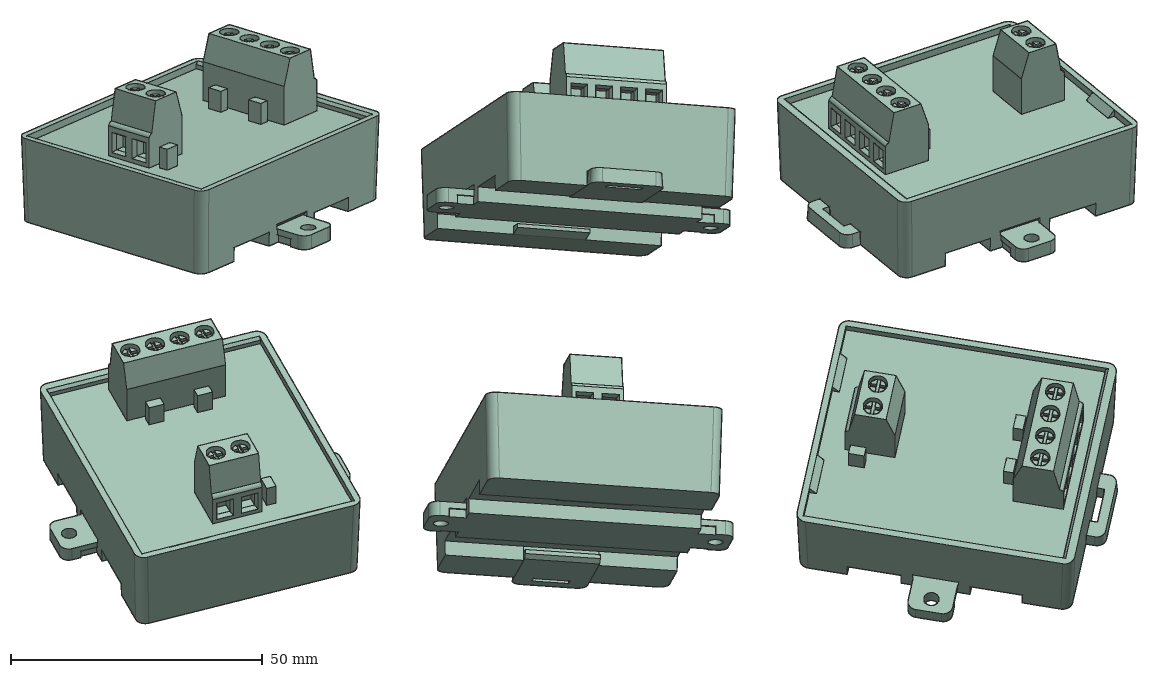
import cadquery as cq
import math

HOUSING_LENGTH_X = 47.9
HOUSING_LENGTH_Y = 56.16
HOUSING_HEIGHT = 18.0
HOUSING_DRAFT = 1.5
HOUSING_CORNER_RADIUS = 2.05
TOTAL_HEIGHT = 30.25

RIM_WIDTH = 1.35
REAR_RIM_WIDTH = 1.7
REAR_CHAMFER = 0.6
COVER_TOP = 16.5
COVER_THICKNESS = 1.5
COVER_SHELF = 1.0
FLOOR_TOP = 4.5

LUG_CENTER_X = 12.1
LUG_LENGTH = 8.05
LUG_DEPTH = 1.45

SLOT_HEIGHT = 3.0
SLOT_REAR_Y = 17.75
SLOT_FRONT_Y = -17.65
PAD_LENGTH = 14.0
PAD_CENTER_Y = 0.2
RAIL_HOOK_TOP = 1.6
RAIL_HOOK_REACH = 2.65
HOOK_TIP_Z = 0.85

EAR_TIP_X = 30.8
EAR_WIDTH = 9.0
EAR_THICKNESS = 3.0
EAR_CORNER_RADIUS = 1.9
EAR_HOLE_DIAMETER = 3.0
EAR_HOLE_INSET = 3.0
EAR_NOTCH_X = 27.0
EAR_NOTCH_HEIGHT = 1.7
EAR_NOTCH_DEPTH = 0.4
EAR_RELIEF_WIDTH = 9.3
EAR_RELIEF_DEPTH = 0.9

CLIP_WIDTH = 15.2
CLIP_TIP_Y = 31.43
CLIP_THICKNESS = 3.0
CLIP_CORNER_RADIUS = 2.0
CLIP_DRAFT = 4.0
CLIP_SLOT_WIDTH = 7.4
CLIP_SLOT_REAR_Y = 29.0
CLIP_HOOK_REACH = 1.7
CLIP_HOOK_TOP = 1.7

TERMINAL_PITCH = 5.25
TERMINAL_DEPTH = 10.15
TERMINAL_SHOULDER_Z = 23.7
TERMINAL_SHOULDER_SIZE = 0.8
TERMINAL_SHOULDER_BULGE = 0.14
TERMINAL_BACK_Z = 24.75
TERMINAL_BACK_SLOPE = 1.8
TERMINAL_FRONT_SLOPE = 1.2
SCREW_HOLE_DIAMETER = 3.8
SCREW_HOLE_DEPTH = 1.5
SCREW_HEAD_DIAMETER = 3.2
SCREW_HEAD_HEIGHT = 0.7
SCREW_SLOT_WIDTH = 0.65
WINDOW_WIDTH = 3.55
WINDOW_BOTTOM = 17.4
WINDOW_TOP = 21.65
WINDOW_TAPER = 0.4
WINDOW_TAPER_DEPTH = 1.0
WINDOW_DEPTH = 3.0

REAR_TERMINAL_POLES = 4
REAR_TERMINAL_BACK_Y = 13.45
FRONT_TERMINAL_POLES = 2
FRONT_TERMINAL_BACK_Y = -11.55
FRONT_TERMINAL_CENTER_X = -0.35

POST_LENGTH = 3.2
POST_WIDTH = 2.0
POST_TOP = 20.95
REAR_POST_CENTERS = [(-5.2, 11.75), (5.1, 11.75)]
FRONT_POST_CENTER = (7.4, -18.7)

DRAFT_INSET = HOUSING_HEIGHT * math.tan(math.radians(HOUSING_DRAFT))
FOOT_LENGTH_X = HOUSING_LENGTH_X - 2 * DRAFT_INSET
FOOT_LENGTH_Y = HOUSING_LENGTH_Y - 2 * DRAFT_INSET
COVER_HALF_X = HOUSING_LENGTH_X / 2 - RIM_WIDTH
COVER_FRONT_Y = RIM_WIDTH - HOUSING_LENGTH_Y / 2
RIM_REAR_Y = HOUSING_LENGTH_Y / 2 - REAR_RIM_WIDTH
COVER_REAR_Y = RIM_REAR_Y - REAR_CHAMFER
PAD_FRONT_Y = PAD_CENTER_Y - PAD_LENGTH / 2
PAD_REAR_Y = PAD_CENTER_Y + PAD_LENGTH / 2


def block(x0, x1, y0, y1, z0, z1):
    """Axis-aligned box between two opposite corners."""
    return cq.Workplane("XY").box(x1 - x0, y1 - y0, z1 - z0, centered=False).translate((x0, y0, z0))


def prism_along_x(profile_yz, center_x, length):
    """Closed polygon of (Y, Z) points extruded along X about center_x."""
    sketch = cq.Workplane("YZ", origin=(center_x, 0, 0)).polyline(profile_yz).close()
    return sketch.extrude(length / 2, both=True)


def rounded_rectangle(length_x, length_y, z):
    outline = cq.Sketch().rect(length_x, length_y).vertices().fillet(HOUSING_CORNER_RADIUS)
    return outline.moved(cq.Location(cq.Vector(0, 0, z)))


def housing_shell():
    foot = rounded_rectangle(FOOT_LENGTH_X, FOOT_LENGTH_Y, 0)
    rim = rounded_rectangle(HOUSING_LENGTH_X, HOUSING_LENGTH_Y, HOUSING_HEIGHT)
    shell = cq.Workplane("XY").placeSketch(foot, rim).loft(ruled=True)
    cover_bottom = COVER_TOP - COVER_THICKNESS
    recess = block(-COVER_HALF_X, COVER_HALF_X, COVER_FRONT_Y, COVER_REAR_Y, cover_bottom, HOUSING_HEIGHT)
    cavity_half_x = COVER_HALF_X - COVER_SHELF
    cavity_front_y = COVER_FRONT_Y + COVER_SHELF
    cavity_rear_y = COVER_REAR_Y - COVER_SHELF
    cavity = block(-cavity_half_x, cavity_half_x, cavity_front_y, cavity_rear_y, FLOOR_TOP, cover_bottom)
    rear_chamfer = prism_along_x(
        [
            (COVER_REAR_Y, HOUSING_HEIGHT),
            (RIM_REAR_Y, HOUSING_HEIGHT),
            (COVER_REAR_Y, HOUSING_HEIGHT - REAR_CHAMFER),
        ],
        0,
        2 * COVER_HALF_X,
    )
    return shell.cut(recess).cut(cavity).cut(rear_chamfer)


def snap_lug(center_x):
    """Ramp on the -Y wall that holds the front edge of the cover down."""
    ramp = [
        (COVER_FRONT_Y, COVER_TOP),
        (COVER_FRONT_Y + LUG_DEPTH, COVER_TOP),
        (COVER_FRONT_Y, HOUSING_HEIGHT),
    ]
    return prism_along_x(ramp, center_x, LUG_LENGTH)


def rail_slot(front_y, rear_y):
    half_x = HOUSING_LENGTH_X / 2
    return block(-half_x, half_x, front_y, rear_y, 0, SLOT_HEIGHT)


def rail_hook():
    """Fixed hook that reaches from the front block into the front rail slot."""
    tip_y = SLOT_FRONT_Y + RAIL_HOOK_REACH
    profile = [
        (SLOT_FRONT_Y, 0),
        (tip_y, HOOK_TIP_Z),
        (tip_y, RAIL_HOOK_TOP),
        (SLOT_FRONT_Y, RAIL_HOOK_TOP),
    ]
    return prism_along_x(profile, 0, CLIP_WIDTH)


def ear_relief(side):
    """Sloped relief in the wall directly above an ear."""
    inner_x = FOOT_LENGTH_X / 2 - EAR_RELIEF_DEPTH
    outer_x = HOUSING_LENGTH_X / 2
    rise = outer_x - inner_x
    profile = [
        (side * inner_x, EAR_THICKNESS),
        (side * outer_x, EAR_THICKNESS),
        (side * outer_x, EAR_THICKNESS + rise),
    ]
    sketch = cq.Workplane("XZ", origin=(0, PAD_CENTER_Y, 0)).polyline(profile).close()
    return sketch.extrude(EAR_RELIEF_WIDTH / 2, both=True)


def mounting_ear(side):
    """Screw ear on the -X (side = -1) or +X (side = 1) wall."""
    root_x = FOOT_LENGTH_X / 2 - EAR_RELIEF_DEPTH
    length = EAR_TIP_X - root_x
    center_x = side * (root_x + EAR_TIP_X) / 2
    base = cq.Workplane("XY", origin=(center_x, PAD_CENTER_Y, 0)).rect(length, EAR_WIDTH)
    ear = base.extrude(EAR_THICKNESS)
    tip_edges = "|Z and >X" if side > 0 else "|Z and <X"
    ear = ear.edges(tip_edges).fillet(EAR_CORNER_RADIUS)
    hole_x = side * (EAR_TIP_X - EAR_HOLE_INSET)
    hole = cq.Workplane("XY", origin=(hole_x, PAD_CENTER_Y, 0)).circle(EAR_HOLE_DIAMETER / 2)
    ear = ear.cut(hole.extrude(EAR_THICKNESS))
    notch_length = EAR_NOTCH_X - FOOT_LENGTH_X / 2
    notch_x = side * (EAR_NOTCH_X + FOOT_LENGTH_X / 2) / 2
    for edge in (-1, 1):
        notch_y = PAD_CENTER_Y + edge * (EAR_WIDTH - EAR_NOTCH_DEPTH) / 2
        notch = cq.Workplane("XY", origin=(notch_x, notch_y, 0)).rect(notch_length, EAR_NOTCH_DEPTH)
        ear = ear.cut(notch.extrude(EAR_NOTCH_HEIGHT))
    return ear


def make_housing(clip):
    housing = housing_shell()
    for side in (-1, 1):
        housing = housing.union(snap_lug(side * LUG_CENTER_X))
    housing = housing.cut(rail_slot(SLOT_FRONT_Y, PAD_FRONT_Y)).cut(rail_slot(PAD_REAR_Y, SLOT_REAR_Y))
    housing = housing.union(rail_hook())
    for side in (-1, 1):
        housing = housing.cut(ear_relief(side)).union(mounting_ear(side))
    return housing.cut(clip)


def make_clip():
    foot_y = FOOT_LENGTH_Y / 2
    half_width = CLIP_WIDTH / 2
    body = block(-half_width, half_width, SLOT_REAR_Y, foot_y, 0, CLIP_THICKNESS)

    end_length = CLIP_TIP_Y - SLOT_REAR_Y
    end_center_y = (CLIP_TIP_Y + SLOT_REAR_Y) / 2
    outline = cq.Sketch().rect(CLIP_WIDTH, end_length).vertices(">Y").fillet(CLIP_CORNER_RADIUS)
    end = cq.Workplane("XY", origin=(0, end_center_y, 0)).placeSketch(outline)
    clip = body.union(end.extrude(CLIP_THICKNESS, taper=CLIP_DRAFT))

    slot_length = CLIP_SLOT_REAR_Y - foot_y
    slot = cq.Workplane("XY", origin=(0, foot_y + slot_length / 2, 0)).rect(CLIP_SLOT_WIDTH, slot_length)
    clip = clip.cut(slot.extrude(CLIP_THICKNESS, taper=-CLIP_DRAFT))

    tip_y = SLOT_REAR_Y - CLIP_HOOK_REACH
    hook = [
        (SLOT_REAR_Y, 0),
        (tip_y + HOOK_TIP_Z, 0),
        (tip_y, HOOK_TIP_Z),
        (tip_y, CLIP_HOOK_TOP),
        (SLOT_REAR_Y, CLIP_HOOK_TOP),
    ]
    return clip.union(prism_along_x(hook, 0, CLIP_WIDTH))


def screw_hole(x, y):
    """Round hole with a cross-slotted screw head standing on its floor."""
    floor_z = TOTAL_HEIGHT - SCREW_HOLE_DEPTH
    floor = cq.Workplane("XY", origin=(x, y, floor_z))
    head = floor.circle(SCREW_HEAD_DIAMETER / 2).extrude(SCREW_HEAD_HEIGHT)
    for size in ((SCREW_HEAD_DIAMETER, SCREW_SLOT_WIDTH), (SCREW_SLOT_WIDTH, SCREW_HEAD_DIAMETER)):
        head = head.cut(floor.rect(*size).extrude(SCREW_HEAD_HEIGHT))
    return floor.circle(SCREW_HOLE_DIAMETER / 2).extrude(SCREW_HOLE_DEPTH).cut(head)


def wire_window(x):
    """Wire entry in the -Y face at y = -TERMINAL_DEPTH: a tapered mouth and a straight throat."""
    height = WINDOW_TOP - WINDOW_BOTTOM
    center_z = (WINDOW_TOP + WINDOW_BOTTOM) / 2
    throat_width = WINDOW_WIDTH - 2 * WINDOW_TAPER
    throat_height = height - 2 * WINDOW_TAPER
    face = cq.Workplane("XZ", origin=(x, -TERMINAL_DEPTH, center_z))
    mouth = face.rect(WINDOW_WIDTH, height).workplane(offset=-WINDOW_TAPER_DEPTH)
    mouth = mouth.rect(throat_width, throat_height).loft(ruled=True)
    return mouth.union(face.rect(throat_width, throat_height).extrude(-WINDOW_DEPTH))


def terminal_block(poles):
    """Screw terminal block centred in X, back face on y = 0, wire windows facing -Y."""
    length = poles * TERMINAL_PITCH
    front_y = -TERMINAL_DEPTH
    shoulder_y = front_y + TERMINAL_SHOULDER_SIZE
    top_front_y = shoulder_y + TERMINAL_FRONT_SLOPE
    arc_drop = TERMINAL_SHOULDER_SIZE / 2 - TERMINAL_SHOULDER_BULGE * math.sqrt(0.5)
    block_body = (
        cq.Workplane("YZ", origin=(-length / 2, 0, 0))
        .moveTo(0, COVER_TOP)
        .lineTo(0, TERMINAL_BACK_Z)
        .lineTo(-TERMINAL_BACK_SLOPE, TOTAL_HEIGHT)
        .lineTo(top_front_y, TOTAL_HEIGHT)
        .lineTo(shoulder_y, TERMINAL_SHOULDER_Z)
        .threePointArc(
            (front_y + arc_drop, TERMINAL_SHOULDER_Z - arc_drop),
            (front_y, TERMINAL_SHOULDER_Z - TERMINAL_SHOULDER_SIZE),
        )
        .lineTo(front_y, COVER_TOP)
        .close()
        .extrude(length)
    )
    screw_y = (top_front_y - TERMINAL_BACK_SLOPE) / 2
    for pole in range(poles):
        x = (pole - (poles - 1) / 2) * TERMINAL_PITCH
        block_body = block_body.cut(screw_hole(x, screw_y)).cut(wire_window(x))
    return block_body


def post(center, size_x, size_y):
    base = cq.Workplane("XY", origin=(*center, COVER_TOP)).rect(size_x, size_y)
    return base.extrude(POST_TOP - COVER_TOP)


def make_cover():
    cover_bottom = COVER_TOP - COVER_THICKNESS
    cover = block(-COVER_HALF_X, COVER_HALF_X, COVER_FRONT_Y, COVER_REAR_Y, cover_bottom, COVER_TOP)
    rear_terminal = terminal_block(REAR_TERMINAL_POLES).rotate((0, 0, 0), (0, 0, 1), 180)
    cover = cover.union(rear_terminal.translate((0, REAR_TERMINAL_BACK_Y, 0)))
    front_terminal = terminal_block(FRONT_TERMINAL_POLES)
    cover = cover.union(front_terminal.translate((FRONT_TERMINAL_CENTER_X, FRONT_TERMINAL_BACK_Y, 0)))
    for center in REAR_POST_CENTERS:
        cover = cover.union(post(center, POST_LENGTH, POST_WIDTH))
    return cover.union(post(FRONT_POST_CENTER, POST_WIDTH, POST_LENGTH))


clip = make_clip()
housing = make_housing(clip)
cover = make_cover()

result = cq.Compound.makeCompound([housing.solids().val(), cover.solids().val(), clip.solids().val()])